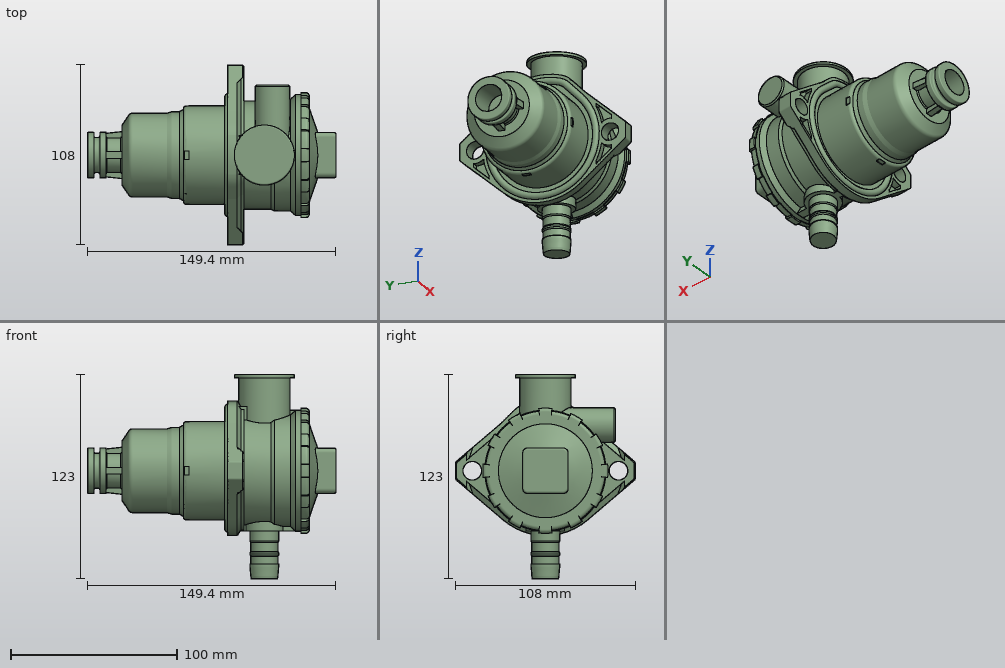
import cadquery as cq
import math

length = 149.4

nose_radius = 13.7
nose_edge = 0.6
groove_rounding = 0.9
nose_core_radius = 10.6
groove_start = 3.9
groove_end = 7.3
collar_end = 11.0
core_flare = 0.7
bore_radius = 8.5
rib_width = 4.2
rib_height_at_body = 14.2

body_start = 20.6
nose_face_radius = 18.0
cone_length = 5.0
cone_rounding = 3.0
front_radius = 25.2
front_end = 47.8
collar_start = 50.6
collar_radius = 26.1
shoulder_start = 55.1
shoulder_end = 57.5
shoulder_radius = 27.5
sleeve_radius = 29.7
sleeve_rounding = 2.0
notch_width = 5.2
notch_length = 3.5
notch_floor = 29.3

flange_front = 84.1
flange_rim_end = 90.0
flange_step = 92.2
flange_back = 94.0
flange_radius = 39.0
flange_top_rise = 3.1
flange_corner_center = 22.4
flange_bevel = 3.5
overall_width = 108.0
ear_reach = overall_width / 2
ear_tip_half_width = 5.2
ear_tip_rounding = 1.5
ear_back_chamfer = 0.7
ear_edge_angle = math.degrees(
    math.acos(flange_radius / math.hypot(ear_reach, ear_tip_half_width))
    + math.atan2(ear_tip_half_width, ear_reach)
)
ear_hole_radius = 5.5
ear_hole_center = 43.9
ear_pad_inner = 43.5
ear_pad_outer = ear_pad_inner + flange_back - flange_rim_end
bead_radius = 34.8
bead_round = 2.2
bead_height = 1.8
ear_pocket_inner = 34.8
ear_pocket_outer = 44.8
ear_pocket_wall = 1.8
ear_pocket_hole_wall = 3.0
ear_pocket_depth = 4.5

housing_radius = 32.5
housing_step_start = 110.1
housing_step_end = 112.2
housing_rear_radius = 33.6
rim_cone_start = 121.9
rim_start = 125.0
rim_radius = 36.5
rib_half_width = 2.8

cap_start = 128.2
cap_end = 133.3
cap_rounding = 2.2
lid_radius = 36.0
lug_radius = 37.6
lug_count = 12
lug_half_angle = 6.1
dome_radius = 28.2
dome_end = 138.3
grip_width = 27.3
grip_corner = 3.0
grip_end_rounding = 1.3

port_x = 106.2
inlet_radius = 15.5
inlet_top = 58.0
inlet_lip_radius = 18.1
inlet_lip_thickness = 2.1
inlet_lip_rounding = 0.9
inlet_block_half_width = 11.7
inlet_block_top = 38.7
side_port_x = 111.2
side_port_z = 27.5
side_port_radius = 10.5
side_port_end = 42.1
side_port_chamfer = 0.9
overall_height = 123.0
drain_bottom = inlet_top - overall_height
drain_boss_radius = 11.5
drain_boss_bottom = -36.3
barb_radius = 8.7
hose_radius = 8.2
barb_slope = 0.9
neck_bottom = -42.3
ring_top = -49.3
ring_bottom = -50.5
end_barb_top = -55.9
end_barb_taper_start = -57.8
drain_end_length = 1.6
drain_end_bevel = 0.3


def turned(profile):
    """Solid of revolution about X; the axis closes the profile.

    Profile points are (x, radius), or (x, radius, rounding) for a rounded corner.
    """
    axis_end = (profile[-1][0], 0)
    points = [(profile[0][0], 0)] + profile + [axis_end]
    outline = cq.Workplane("XY").moveTo(*points[0])
    for index, point in enumerate(profile, start=1):
        corner = cq.Vector(point[0], point[1])
        if len(point) == 2:
            outline = outline.lineTo(corner.x, corner.y)
            continue
        before = cq.Vector(*points[index - 1][:2]) - corner
        after = cq.Vector(*points[index + 1][:2]) - corner
        half_angle = before.getAngle(after) / 2
        tangent_length = point[2] / math.tan(half_angle)
        start = corner + before.normalized() * tangent_length
        end = corner + after.normalized() * tangent_length
        bisector = (before.normalized() + after.normalized()).normalized()
        middle = corner + bisector * (point[2] / math.sin(half_angle) - point[2])
        outline = outline.lineTo(start.x, start.y)
        outline = outline.threePointArc((middle.x, middle.y), (end.x, end.y))
    outline = outline.lineTo(*axis_end).close()
    return outline.revolve(360, (0, 0, 0), (1, 0, 0))


def across(x):
    """Workplane normal to X whose local axes are Y and Z."""
    return cq.Workplane("YZ", origin=(x, 0, 0))


def box(x_range, y_range, z_range):
    size = [high - low for low, high in (x_range, y_range, z_range)]
    corner = (x_range[0], y_range[0], z_range[0])
    return cq.Workplane("XY", origin=corner).box(*size, centered=False)


def around_axis(shape, count):
    """Copies of a shape spaced evenly around X."""
    copies = shape
    for index in range(1, count):
        copies = copies.union(shape.rotate((0, 0, 0), (1, 0, 0), 360 / count * index))
    return copies


def polar(radius, degrees):
    angle = math.radians(degrees)
    return radius * math.cos(angle), radius * math.sin(angle)


def mirrored(point):
    return -point[0], point[1]


def raised_circle(x, radius):
    """Circle with a raised top: 45 degree flats, rounded corners and a larger top arc."""
    corner_radius = radius - flange_corner_center
    top_radius = radius + flange_top_rise
    flat_start = polar(radius, 45)
    corner_reach = top_radius - corner_radius
    flat = math.sqrt(corner_reach ** 2 - flange_corner_center ** 2)
    corner_angle = 45 + math.degrees(math.atan2(flat, flange_corner_center))
    center = polar(corner_reach, corner_angle)

    def on_corner(degrees):
        offset = polar(corner_radius, degrees)
        return center[0] + offset[0], center[1] + offset[1]

    flat_end = on_corner(45)
    corner_middle = on_corner((45 + corner_angle) / 2)
    corner_end = on_corner(corner_angle)
    return (
        across(x)
        .moveTo(*flat_start)
        .lineTo(*flat_end)
        .threePointArc(corner_middle, corner_end)
        .threePointArc((0, top_radius), mirrored(corner_end))
        .threePointArc(mirrored(corner_middle), mirrored(flat_end))
        .lineTo(*mirrored(flat_start))
        .threePointArc((0, -radius), flat_start)
        .close()
    )


def nose():
    core_front = collar_end + core_flare
    core_back = body_start - core_flare
    spigot = turned([
        (0, nose_radius, nose_edge),
        (groove_start, nose_radius, nose_edge),
        (groove_start, nose_core_radius, groove_rounding),
        (groove_end, nose_core_radius, groove_rounding),
        (groove_end, nose_radius, nose_edge),
        (collar_end, nose_radius),
        (collar_end, nose_core_radius + core_flare),
        (core_front, nose_core_radius),
        (core_back, nose_core_radius),
        (body_start, nose_core_radius + core_flare),
    ])
    rib = (
        cq.Workplane("XZ")
        .polyline([
            (collar_end, 0),
            (collar_end, nose_radius - nose_edge),
            (body_start, rib_height_at_body),
            (body_start, 0),
        ])
        .close()
        .extrude(rib_width / 2, both=True)
    )
    return spigot.union(around_axis(rib, 4))


def front_body():
    body = turned([
        (body_start, nose_face_radius),
        (body_start + cone_length, front_radius, cone_rounding),
        (front_end, front_radius),
        (collar_start, collar_radius),
        (shoulder_start, collar_radius),
        (shoulder_end, shoulder_radius),
        (shoulder_end, sleeve_radius, sleeve_rounding),
        (flange_front, sleeve_radius),
    ])
    notch = box(
        (shoulder_end, shoulder_end + notch_length),
        (-notch_width / 2, notch_width / 2),
        (notch_floor, sleeve_radius),
    )
    return body.cut(around_axis(notch, 4))


def ears(x, radius):
    """Outline of two pointed ears whose edges touch a circle of the given radius."""
    edge_y, edge_z = polar(1, ear_edge_angle)
    tip = (ear_reach, (radius - edge_y * ear_reach) / edge_z)
    upper = [polar(radius, ear_edge_angle), tip]
    lower = [(y, -z) for y, z in reversed(upper)]
    right_side = upper + lower
    left_side = [mirrored(point) for point in reversed(right_side)]
    return across(x).polyline(right_side + left_side).close()


def tapered(outline):
    """Solid from the rim outline to the smaller one on the flange step."""
    inner_radius = flange_radius - flange_bevel
    rim_wire = outline(flange_rim_end, flange_radius).val()
    step_wire = outline(flange_step, inner_radius).val()
    return cq.Workplane(cq.Solid.makeLoft([rim_wire, step_wire], True))


def flange():
    rim_thickness = flange_rim_end - flange_front
    thickness = flange_back - flange_front
    inner_radius = flange_radius - flange_bevel
    rim = raised_circle(flange_front, flange_radius).extrude(rim_thickness)
    inner = raised_circle(flange_front, inner_radius).extrude(thickness)
    round_part = rim.union(tapered(raised_circle)).union(inner)

    inner_ears = ears(flange_front, inner_radius).extrude(thickness)
    span = across(flange_front).rect(2 * ear_pad_outer, 2 * flange_radius).extrude(thickness)
    ear_middle = inner_ears.union(tapered(ears)).intersect(span)

    bead_x = flange_front - bead_height + bead_round
    bead_start = cq.Plane((bead_x, *polar(bead_radius, 45)), xDir=(1, 0, 0), normal=(0, -1, 1))
    bead = cq.Workplane(bead_start).circle(bead_round).sweep(raised_circle(bead_x, bead_radius))

    holes = (
        across(flange_front)
        .pushPoints([(-ear_hole_center, 0), (ear_hole_center, 0)])
        .circle(ear_hole_radius)
        .extrude(thickness)
    )
    plate = round_part.union(ear_middle).union(ear_pads()).union(bead).cut(holes)
    pocket = ear_pocket()
    for pocket_side in (pocket, pocket.mirror("XZ")):
        plate = plate.cut(pocket_side).cut(pocket_side.mirror("XY"))
    return plate


def ear_pads():
    """Ears with full-thickness tips, sloping down at 45 degrees to the thinner rim."""
    pads = ears(flange_front, flange_radius).extrude(flange_back - flange_front)
    pads = pads.edges("|X and (>Y or <Y)").fillet(ear_tip_rounding)
    pads = pads.faces(">Y or <Y").edges(">X").chamfer(ear_back_chamfer)
    relief = (
        cq.Workplane("XY")
        .polyline([
            (flange_rim_end, -ear_pad_inner),
            (flange_back, -ear_pad_outer),
            (flange_back, ear_pad_outer),
            (flange_rim_end, ear_pad_inner),
        ])
        .close()
        .extrude(flange_radius, both=True)
    )
    return pads.cut(relief)


def ear_pocket():
    """Pocket bounded by the flange circle, the ear edge and a wall around the ear hole."""
    edge_y, edge_z = polar(1, ear_edge_angle)

    def edge_height(y):
        return (flange_radius - ear_pocket_wall - edge_y * y) / edge_z

    pocket = (
        across(flange_front)
        .polyline([
            (ear_pocket_inner, 0),
            (ear_pocket_outer, 0),
            (ear_pocket_outer, edge_height(ear_pocket_outer)),
            (ear_pocket_inner, edge_height(ear_pocket_inner)),
        ])
        .close()
        .extrude(ear_pocket_depth)
    )
    ring = across(flange_front).circle(flange_radius).extrude(ear_pocket_depth)
    hole_wall = (
        across(flange_front)
        .center(ear_hole_center, 0)
        .circle(ear_hole_radius + ear_pocket_hole_wall)
        .extrude(ear_pocket_depth)
    )
    return pocket.cut(ring).cut(hole_wall)


def housing():
    shell = turned([
        (flange_front, housing_radius),
        (housing_step_start, housing_radius),
        (housing_step_end, housing_rear_radius),
        (rim_cone_start, housing_rear_radius),
        (rim_start, rim_radius),
        (cap_start, rim_radius),
    ])
    keel = box((flange_step, rim_start), (-rib_half_width, rib_half_width), (drain_boss_bottom, rim_radius))
    return shell.union(keel)


def cap():
    thickness = cap_end - cap_start
    lid = across(cap_start).circle(lid_radius).extrude(thickness)
    lid = lid.faces(">X").edges().fillet(cap_rounding)
    lug_ring = across(cap_start).circle(lug_radius).extrude(thickness)
    lug_ring = lug_ring.faces(">X").edges().fillet(cap_rounding)
    reach = 2 * lug_radius
    wedge_half = reach * math.tan(math.radians(lug_half_angle))
    wedge = (
        across(cap_start)
        .polyline([(0, 0), (reach, -wedge_half), (reach, wedge_half)])
        .close()
        .extrude(thickness)
    )
    lug = lug_ring.intersect(wedge)
    lid = lid.union(around_axis(lug, lug_count))
    dome = turned([(cap_end, dome_radius), (dome_end, grip_width / 2)])
    grip = across(cap_end).rect(grip_width, grip_width).extrude(length - cap_end)
    grip = grip.edges("|X").fillet(grip_corner)
    grip = grip.faces(">X").edges().fillet(grip_end_rounding)
    return lid.union(dome).union(grip)


def inlet_port():
    pipe = cq.Workplane("XY").center(port_x, 0).circle(inlet_radius).extrude(inlet_top)
    lip = (
        cq.Workplane("XY", origin=(port_x, 0, inlet_top - inlet_lip_thickness))
        .circle(inlet_lip_radius)
        .extrude(inlet_lip_thickness)
        .faces(">Z")
        .edges()
        .fillet(inlet_lip_rounding)
    )
    block = box(
        (flange_rim_end, port_x),
        (-inlet_block_half_width, inlet_block_half_width),
        (0, inlet_block_top),
    )
    return pipe.union(lip).union(block)


def side_port():
    pipe = (
        cq.Workplane("XZ")
        .center(side_port_x, side_port_z)
        .circle(side_port_radius)
        .extrude(-side_port_end)
    )
    return pipe.faces(">Y").edges().chamfer(side_port_chamfer)


def drain_port():
    profile = [
        (drain_boss_radius, 0),
        (drain_boss_radius, drain_boss_bottom),
        (barb_radius, drain_boss_bottom),
        (barb_radius, neck_bottom),
        (hose_radius, neck_bottom - barb_slope),
        (hose_radius, ring_top + barb_slope),
        (barb_radius, ring_top),
        (barb_radius, ring_bottom),
        (hose_radius, ring_bottom - barb_slope),
        (hose_radius, end_barb_top),
        (barb_radius, end_barb_top),
        (barb_radius, end_barb_taper_start),
        (hose_radius, drain_bottom + drain_end_length),
        (hose_radius - drain_end_bevel, drain_bottom),
    ]
    outline = [(0, 0)] + profile + [(0, drain_bottom)]
    return (
        cq.Workplane("XZ", origin=(port_x, 0, 0))
        .polyline(outline)
        .close()
        .revolve(360, (0, 0, 0), (0, 1, 0))
    )


result = nose()
for feature in (front_body, flange, housing, cap, inlet_port, side_port, drain_port):
    result = result.union(feature())
result = result.cut(across(0).circle(bore_radius).extrude(body_start))